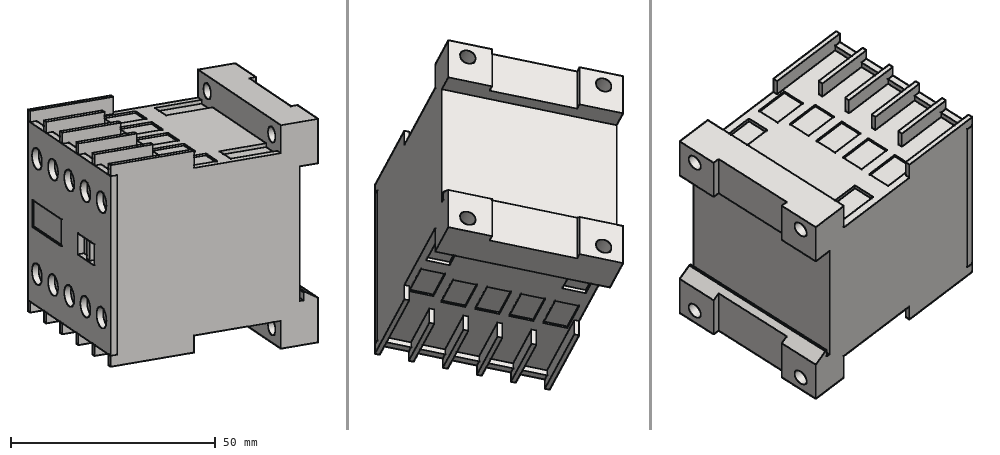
import cadquery as cq


WIDTH = 45.0
DEPTH = 56.7
HEIGHT = 58.0

BODY_HEIGHT = 43.5
FLANGE_THICKNESS = 10.2
RAIL_DEPTH = 5.0
RAIL_HALF_HEIGHT = 17.45
HOOK_GAP = 1.0
HOOK_TIP = 0.5
HOOK_RISE = 2.1
BACK_NOTCH_WIDTH = 22.5
BACK_NOTCH_DEPTH = 1.8

COVER_HEIGHT = 46.6
COVER_THICKNESS = 1.8

POLE_COUNT = 5
POLE_PITCH = 8.75
POLE_CENTERS = [(i - (POLE_COUNT - 1) / 2) * POLE_PITCH for i in range(POLE_COUNT)]
SCREW_DIAMETER = 5.4
SCREW_HEIGHT = 14.95

FIN_SPAN = 52.3
FIN_THICKNESS = 1.3
INNER_FIN_LENGTH = 15.95
END_FIN_LENGTH = 22.8

MOUNT_DIAMETER = 4.0
MOUNT_SPACING_X = 35.0
MOUNT_SPACING_Z = 50.0

TERMINAL_WIDTH = 6.2
TERMINAL_LENGTH = 9.2
TERMINAL_START = 19.25
LAST_TERMINAL_START = 20.9
TERMINAL_DEPTH = 0.5
CLEARANCE_WIDTH = 6.05
CLEARANCE_LENGTH = 12.75
CLEARANCE_DEPTH = 1.0

LABEL_WIDTH = 15.95
LABEL_HEIGHT = 7.0
LABEL_X = -12.2
LABEL_DEPTH = 0.5
WINDOW_WIDTH = 9.0
WINDOW_HEIGHT = 5.5
WINDOW_X = 9.0
INDICATOR_WIDTH = 1.6
INDICATOR_HEIGHT = 5.05
INDICATOR_X = 9.75
INDICATOR_SETBACK = 0.3

FLANGE_FRONT = DEPTH - FLANGE_THICKNESS
RAIL_FACE = DEPTH - RAIL_DEPTH


def block(width, length, height, x, front, z):
    """Box centred on x and z that starts at Y = front and runs back by length."""
    return cq.Workplane("XY").box(width, length, height).translate((x, front + length / 2, z))


def round_bars(points, diameter, front, length):
    """Cylinders along +Y centred on the given (x, z) points."""
    bars = cq.Workplane("XZ", origin=(0, front, 0)).pushPoints(points)
    return bars.circle(diameter / 2).extrude(-length)


def housing_profile():
    """Side profile of housing and rail foot, extruded across the width."""
    body_top = BODY_HEIGHT / 2
    flange_top = HEIGHT / 2
    hook_inner = RAIL_FACE + HOOK_GAP
    outline = [
        (COVER_THICKNESS, -body_top),
        (FLANGE_FRONT, -body_top),
        (FLANGE_FRONT, -flange_top),
        (DEPTH, -flange_top),
        (DEPTH, -RAIL_HALF_HEIGHT),
        (hook_inner + HOOK_TIP, HOOK_RISE - RAIL_HALF_HEIGHT),
        (hook_inner, HOOK_RISE - RAIL_HALF_HEIGHT),
        (hook_inner, -RAIL_HALF_HEIGHT),
        (RAIL_FACE, -RAIL_HALF_HEIGHT),
        (RAIL_FACE, RAIL_HALF_HEIGHT),
        (DEPTH, RAIL_HALF_HEIGHT),
        (DEPTH, flange_top),
        (FLANGE_FRONT, flange_top),
        (FLANGE_FRONT, body_top),
        (COVER_THICKNESS, body_top),
    ]
    return cq.Workplane("YZ").polyline(outline).close().extrude(WIDTH / 2, both=True)


def fins():
    """Barriers between poles and at both ends, before the room for the cover is cut."""
    end_x = (WIDTH - FIN_THICKNESS) / 2
    places = [(-end_x, END_FIN_LENGTH), (end_x, END_FIN_LENGTH)]
    places += [(x + POLE_PITCH / 2, INNER_FIN_LENGTH) for x in POLE_CENTERS[:-1]]
    solids = cq.Workplane("XY")
    for x, length in places:
        solids = solids.union(block(FIN_THICKNESS, length, FIN_SPAN, x, 0, 0))
    return solids


def face_pockets():
    """Cutters for the terminal and clearance pockets, alike on the upper and lower faces."""
    starts = [TERMINAL_START] * (POLE_COUNT - 1) + [LAST_TERMINAL_START]
    cutters = cq.Workplane("XY")
    for face_z in (-BODY_HEIGHT / 2, BODY_HEIGHT / 2):
        for x, start in zip(POLE_CENTERS, starts):
            cutters = cutters.union(
                block(TERMINAL_WIDTH, TERMINAL_LENGTH, 2 * TERMINAL_DEPTH, x, start, face_z)
            )
        for x in (POLE_CENTERS[0], POLE_CENTERS[-1]):
            front = FLANGE_FRONT - CLEARANCE_LENGTH
            cutters = cutters.union(
                block(CLEARANCE_WIDTH, CLEARANCE_LENGTH, 2 * CLEARANCE_DEPTH, x, front, face_z)
            )
    return cutters


def make_housing():
    cover_room = block(WIDTH, COVER_THICKNESS, COVER_HEIGHT, 0, 0, 0)
    back_notch = block(
        BACK_NOTCH_WIDTH, BACK_NOTCH_DEPTH, HEIGHT, 0, DEPTH - BACK_NOTCH_DEPTH, 0
    )
    mount_points = [
        (x, z)
        for x in (-MOUNT_SPACING_X / 2, MOUNT_SPACING_X / 2)
        for z in (-MOUNT_SPACING_Z / 2, MOUNT_SPACING_Z / 2)
    ]
    mount_holes = round_bars(mount_points, MOUNT_DIAMETER, FLANGE_FRONT, FLANGE_THICKNESS)
    indicator = block(
        INDICATOR_WIDTH, COVER_THICKNESS - INDICATOR_SETBACK, INDICATOR_HEIGHT,
        INDICATOR_X, INDICATOR_SETBACK, 0,
    )
    housing = housing_profile().union(fins()).cut(cover_room).cut(back_notch)
    return housing.cut(mount_holes).cut(face_pockets()).union(indicator)


def make_cover():
    cover = block(WIDTH, COVER_THICKNESS, COVER_HEIGHT, 0, 0, 0)
    screw_points = [(x, z) for x in POLE_CENTERS for z in (-SCREW_HEIGHT, SCREW_HEIGHT)]
    screw_holes = round_bars(screw_points, SCREW_DIAMETER, 0, COVER_THICKNESS)
    window = block(WINDOW_WIDTH, COVER_THICKNESS, WINDOW_HEIGHT, WINDOW_X, 0, 0)
    label = block(LABEL_WIDTH, LABEL_DEPTH, LABEL_HEIGHT, LABEL_X, 0, 0)
    return cover.cut(screw_holes).cut(window).cut(label)


housing = make_housing()
cover = make_cover()
result = cq.Compound.makeCompound([housing.solids().val(), cover.solids().val()])